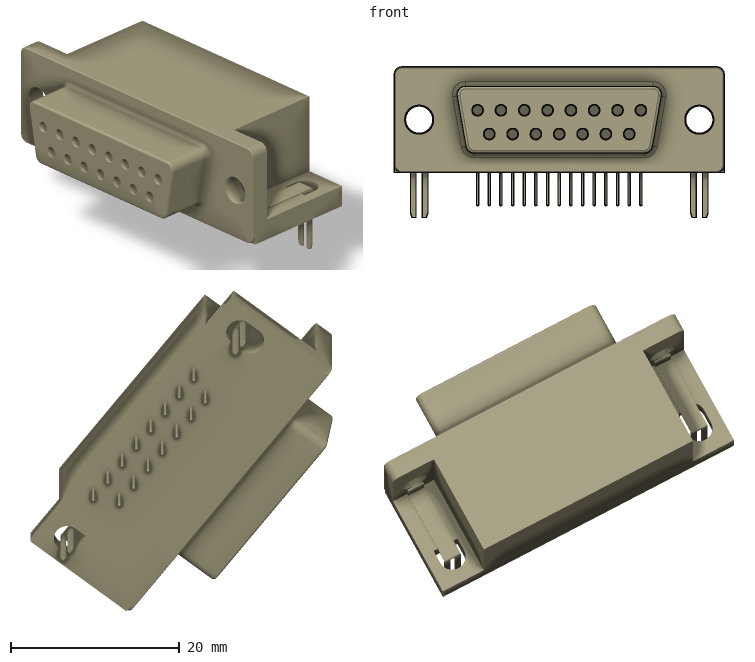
import cadquery as cq
import math

total_width = 39.2
body_height = 12.6
body_depth = 14.9
block_width = 28.15
flange_depth = 2.35
plate_depth = 0.4
plate_edge_radius = 0.15
corner_radius = 0.98
foot_height = 2.65

mount_spacing = 33.25
mount_hole_diameter = 3.2
mount_hole_chamfer = 0.1
mid_height = body_height / 2

shell_length = 6.05
shell_height = 7.9
shell_top_half_width = 12.3
shell_side_angle = math.radians(10)
shell_corner_radius = 0.98
shell_base_radius = 0.55
shell_tip_radius = 0.3
edge_margin = 0.05

upper_count = 8
lower_count = 7
upper_row_span = 19.35
contact_pitch = upper_row_span / (upper_count - 1)
row_spacing = 2.82
row_mid_height = 6.0
socket_diameter = 1.2
socket_chamfer = 0.08
socket_depth = 3.92
pin_diameter = 0.3
pin_length = 3.95
pin_tip_chamfer = 0.1
pin_row_mid_depth = 11.72

slot_width = mount_hole_diameter
slot_back_center = 11.65
slot_front_center = 10.0
lock_width = 2.1
lock_thickness = 0.3
lock_top = 2.82
lock_upright_top = 4.63
lock_end = 11.88
lock_bend_radius = 0.15
prong_width = 0.7
prong_length = 5.35
prong_taper_height = 0.6
prong_taper_width = 0.2

pin_overlap = 0.2


def box(width, y_start, y_end, z_start, z_end):
    """Box centred on X = 0 between two depths and two heights."""
    block = cq.Workplane("XY").box(
        width, y_end - y_start, z_end - z_start, centered=(True, False, False)
    )
    return block.translate((0, y_start, z_start))


def make_body():
    block = box(block_width, plate_depth, body_depth, 0, body_height)
    base = box(total_width, plate_depth, body_depth, 0, foot_height)
    flange = box(total_width, plate_depth, flange_depth, 0, body_height)
    flange = flange.edges("|Y and >Z").fillet(corner_radius)
    plate = box(total_width, 0, plate_depth, 0, body_height)
    plate = plate.edges("|Y").fillet(corner_radius).faces("<Y").edges().fillet(plate_edge_radius)
    return block.union(base).union(flange).union(plate)


def make_shell():
    bottom_half_width = shell_top_half_width - shell_height * math.tan(shell_side_angle)
    top = mid_height + shell_height / 2
    bottom = mid_height - shell_height / 2
    outline = [
        (-shell_top_half_width, top),
        (shell_top_half_width, top),
        (bottom_half_width, bottom),
        (-bottom_half_width, bottom),
    ]
    shell = cq.Workplane("XZ").polyline(outline).close().extrude(shell_length)
    shell = shell.edges("|Y").fillet(shell_corner_radius)
    return shell.faces("<Y").edges().fillet(shell_tip_radius)


def add_shell(body):
    joined = body.union(make_shell())
    half_height = shell_height / 2 + edge_margin
    base_edges = cq.selectors.BoxSelector(
        (-shell_top_half_width, -edge_margin, mid_height - half_height),
        (shell_top_half_width, edge_margin, mid_height + half_height),
    )
    return joined.edges(base_edges).fillet(shell_base_radius)


def front_hole(x, y, z, diameter, depth, chamfer):
    """Cutter for a hole bored toward +Y with a chamfered mouth."""
    radius = diameter / 2
    profile = [
        (0, 0),
        (radius + chamfer, 0),
        (radius, chamfer),
        (radius, depth),
        (0, depth),
    ]
    cutter = cq.Workplane("XY").polyline(profile).close().revolve(360, (0, 0, 0), (0, 1, 0))
    return cutter.translate((x, y, z))


def slot_cutter(side):
    """Foot slot; the left one is rounded at both ends, the right one is square in front."""
    x = side * mount_spacing / 2
    cutter = box(slot_width, slot_front_center, slot_back_center, 0, foot_height).translate((x, 0, 0))
    round_ends = [slot_back_center] if side > 0 else [slot_back_center, slot_front_center]
    for y in round_ends:
        cutter = cutter.union(cq.Workplane("XY").center(x, y).circle(slot_width / 2).extrude(foot_height))
    return cutter


def make_prong(side):
    """One leg of a board lock, tapered on its outer side at the tip."""
    outer = side * lock_width / 2
    inner = outer - side * prong_width
    outline = [
        (inner, lock_top - lock_thickness),
        (outer, lock_top - lock_thickness),
        (outer, prong_taper_height - prong_length),
        (outer - side * prong_taper_width, -prong_length),
        (inner, -prong_length),
    ]
    prong = cq.Workplane("XZ").polyline(outline).close().extrude(lock_thickness)
    return prong.translate((0, lock_end, 0))


def make_lock():
    strap = box(lock_width, flange_depth, lock_end, lock_top - lock_thickness, lock_top)
    strap = strap.edges("|X and >Y and >Z").fillet(lock_bend_radius)
    upright = box(lock_width, flange_depth, flange_depth + lock_thickness, foot_height, lock_upright_top)
    upright = upright.edges("|X and >Y and >Z").fillet(lock_bend_radius)
    return strap.union(upright).union(make_prong(-1)).union(make_prong(1))


def make_pin(x, y):
    pin = cq.Workplane("XY").circle(pin_diameter / 2).extrude(pin_length + pin_overlap)
    return pin.faces("<Z").chamfer(pin_tip_chamfer).translate((x, y, -pin_length))


result = add_shell(make_body())

for count, row in ((upper_count, 1), (lower_count, -1)):
    socket_z = row_mid_height + row * row_spacing / 2
    pin_y = pin_row_mid_depth + row * row_spacing / 2
    for i in range(count):
        x = (i - (count - 1) / 2) * contact_pitch
        socket = front_hole(x, -shell_length, socket_z, socket_diameter, socket_depth, socket_chamfer)
        result = result.cut(socket).union(make_pin(x, pin_y))

for side in (-1, 1):
    x = side * mount_spacing / 2
    mount_hole = front_hole(x, 0, mid_height, mount_hole_diameter, flange_depth, mount_hole_chamfer)
    lock = make_lock().translate((x, 0, 0))
    result = result.cut(mount_hole).cut(slot_cutter(side)).union(lock)